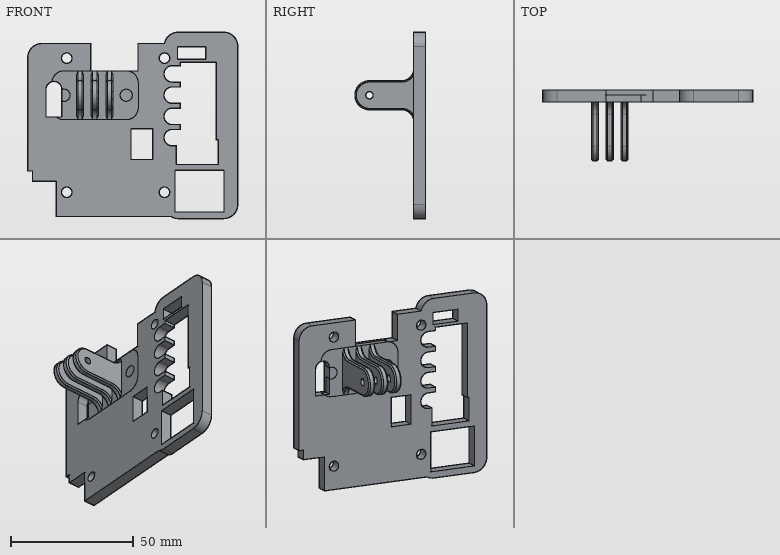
import cadquery as cq
import math


panel_width = 86.0
panel_height = 76.4
panel_thickness = 5.0
corner_radius = 5.85
board_bottom = 0.9
board_top = 71.7
strip_left = 55.8

step_inner_x = 11.7
step_middle_x = 2.0
step_inner_z = 15.3
step_outer_z = 19.4

notch_left = 25.9
notch_right = 45.1

screw_hole_diameter = 4.2
screw_left = 16.0
screw_bottom = 10.8
screw_pitch_x = 40.0
screw_pitch_z = 54.9

windows = [
    (61.4, 65.3, 72.8, 70.35),
    (60.4, 2.8, 80.3, 19.8),
    (42.3, 24.25, 51.2, 36.7),
]

opening_left = 62.5
opening_right = 77.05
opening_bottom = 22.3
opening_top = 64.0
opening_lower_left = 60.9
opening_lower_right = 77.9
opening_right_step_z = 32.25
side_slot_count = 4
side_slot_tip = 55.8
side_slot_height = 6.6
side_slot_pitch = 8.7
side_slot_top_z = 59.25

arch_left = 7.6
arch_right = 13.9
arch_bottom = 41.7
arch_top = 56.2

base_center_x = 27.6
base_width = 35.35
base_height = 20.0
base_top = 60.55
base_depth = 3.0
base_corner_radius = 5.0
base_center_z = base_top - base_height / 2

peg_diameter = 5.0
peg_spacing = 25.45

finger_count = 3
finger_center_x = 27.4
finger_pitch = 6.0
finger_thickness = 2.9
finger_height = 11.95
finger_reach = 24.0
finger_chamfer = 0.6
root_flare_length = 4.8
pivot_diameter = 2.9
pivot_reach = finger_reach - finger_height / 2


def block(left, bottom, right, top, depth):
    """A rectangular block from the front face back to the given depth."""
    return (
        cq.Workplane("XZ")
        .center((left + right) / 2, (bottom + top) / 2)
        .rect(right - left, top - bottom)
        .extrude(-depth)
    )


def cylinders(points, diameter, depth):
    """Cylinders along Y from the front face back to the given depth."""
    return cq.Workplane("XZ").pushPoints(points).circle(diameter / 2).extrude(-depth)


def make_panel_blank():
    board = (
        cq.Workplane("XZ")
        .moveTo(step_inner_x, board_bottom)
        .lineTo(step_inner_x, step_inner_z)
        .lineTo(step_middle_x, step_inner_z)
        .lineTo(step_middle_x, step_outer_z)
        .lineTo(0, step_outer_z)
        .lineTo(0, board_top - corner_radius)
        .tangentArcPoint((corner_radius, board_top), relative=False)
        .lineTo(notch_left, board_top)
        .lineTo(notch_left, base_top)
        .lineTo(notch_right, base_top)
        .lineTo(notch_right, board_top)
        .lineTo(strip_left + corner_radius, board_top)
        .lineTo(strip_left + corner_radius, board_bottom)
        .close()
        .extrude(-panel_thickness)
    )
    strip = block(strip_left, 0, panel_width, panel_height, panel_thickness)
    strip = strip.edges("|Y").fillet(corner_radius)
    return board.union(strip)


def make_screw_holes():
    points = [
        (screw_left + column * screw_pitch_x, screw_bottom + row * screw_pitch_z)
        for column in range(2)
        for row in range(2)
    ]
    return cylinders(points, screw_hole_diameter, panel_thickness)


def make_large_opening():
    slot_radius = side_slot_height / 2
    slot_center_x = side_slot_tip + slot_radius
    lowest_slot_z = side_slot_top_z - (side_slot_count - 1) * side_slot_pitch
    opening = block(opening_left, opening_bottom, opening_right, opening_top, panel_thickness)
    opening = opening.union(
        block(opening_lower_left, opening_bottom, opening_left, lowest_slot_z, panel_thickness)
    )
    opening = opening.union(
        block(opening_right, opening_bottom, opening_lower_right, opening_right_step_z, panel_thickness)
    )
    for index in range(side_slot_count):
        z = side_slot_top_z - index * side_slot_pitch
        slot = block(slot_center_x, z - slot_radius, opening_left, z + slot_radius, panel_thickness)
        opening = opening.union(slot)
        opening = opening.union(cylinders([(slot_center_x, z)], side_slot_height, panel_thickness))
    return opening


def make_arched_slot():
    radius = (arch_right - arch_left) / 2
    return (
        cq.Workplane("XZ")
        .moveTo(arch_right, arch_bottom)
        .lineTo(arch_right, arch_top - radius)
        .threePointArc((arch_left + radius, arch_top), (arch_left, arch_top - radius))
        .lineTo(arch_left, arch_bottom)
        .close()
        .extrude(-panel_thickness)
    )


def make_mount_base():
    base = block(
        base_center_x - base_width / 2,
        base_top - base_height,
        base_center_x + base_width / 2,
        base_top,
        base_depth,
    )
    base = base.edges("|Y").fillet(base_corner_radius)
    peg_points = [(base_center_x + side * peg_spacing / 2, base_center_z) for side in (-1, 1)]
    base = base.cut(cylinders(peg_points, peg_diameter, base_depth))
    return base.cut(make_arched_slot())


def make_finger(center_x):
    """A round-ended finger whose root flares out to the full height of the base."""
    half_height = finger_height / 2
    half_root = base_height / 2
    flare_rise = half_root - half_height
    flare_radius = (root_flare_length**2 + flare_rise**2) / (2 * flare_rise)
    half_sweep = math.asin(root_flare_length / flare_radius) / 2
    flare_mid_y = -root_flare_length + flare_radius * math.sin(half_sweep)
    flare_mid_z = half_height + flare_radius * (1 - math.cos(half_sweep))
    finger = (
        cq.Workplane("YZ", origin=(center_x, 0, base_center_z))
        .moveTo(0, -half_root)
        .threePointArc((flare_mid_y, -flare_mid_z), (-root_flare_length, -half_height))
        .lineTo(-pivot_reach, -half_height)
        .threePointArc((-finger_reach, 0), (-pivot_reach, half_height))
        .lineTo(-root_flare_length, half_height)
        .threePointArc((flare_mid_y, flare_mid_z), (0, half_root))
        .close()
        .extrude(finger_thickness / 2, both=True)
    )
    finger = finger.faces("<X or >X").edges("not >Y").chamfer(finger_chamfer)
    pivot = (
        cq.Workplane("YZ", origin=(center_x, -pivot_reach, base_center_z))
        .circle(pivot_diameter / 2)
        .extrude(finger_thickness, both=True)
    )
    return finger.cut(pivot)


def make_mount(base):
    mount = base
    for index in range(finger_count):
        offset = (index - (finger_count - 1) / 2) * finger_pitch
        mount = mount.union(make_finger(finger_center_x + offset))
    return mount


def make_panel(base):
    panel = make_panel_blank().cut(make_screw_holes())
    for left, bottom, right, top in windows:
        panel = panel.cut(block(left, bottom, right, top, panel_thickness))
    panel = panel.cut(make_large_opening())
    panel = panel.cut(make_arched_slot())
    return panel.cut(base)


mount_base = make_mount_base()
panel = make_panel(mount_base)
mount = make_mount(mount_base)

result = cq.Compound.makeCompound([panel.solids().val(), mount.solids().val()])